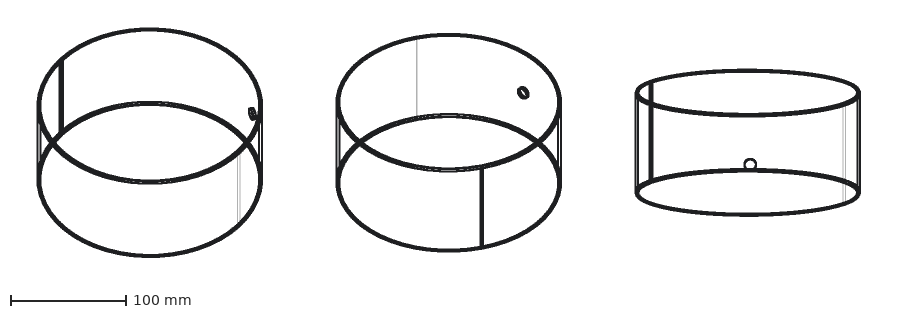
import cadquery as cq

outer_diameter = 195.0
height = 90.0
wall = 2.5
outer_radius = outer_diameter / 2
inner_radius = outer_radius - wall

bevel_width = 0.75
bevel_height = 2.0
inner_chamfer = 0.75

slit_width = 1.5

hole_diameter = 10.0
hole_angle = 59.0
hole_height = height / 2


def make_ring():
    """Revolve the wall section, with its corners broken at both ends."""
    section = [
        (inner_radius, inner_chamfer),
        (inner_radius + inner_chamfer, 0),
        (outer_radius - bevel_width, 0),
        (outer_radius, bevel_height),
        (outer_radius, height - bevel_height),
        (outer_radius - bevel_width, height),
        (inner_radius + inner_chamfer, height),
        (inner_radius, height - inner_chamfer),
    ]
    return cq.Workplane("XZ").polyline(section).close().revolve(360, (0, 0, 0), (0, 1, 0))


def make_slit():
    """Full-height cutter that opens the ring on the -X side, from Y = 0 toward +Y."""
    cutter = cq.Workplane("XY").box(outer_diameter, slit_width, height, centered=(True, False, False))
    return cutter.translate((-outer_radius, 0, 0))


def make_hole():
    """Radial cutter that crosses the wall once, at the hole angle."""
    cutter = cq.Workplane("YZ").circle(hole_diameter / 2).extrude(outer_diameter)
    return cutter.translate((0, 0, hole_height)).rotate((0, 0, 0), (0, 0, 1), hole_angle)


result = make_ring().cut(make_slit()).cut(make_hole())